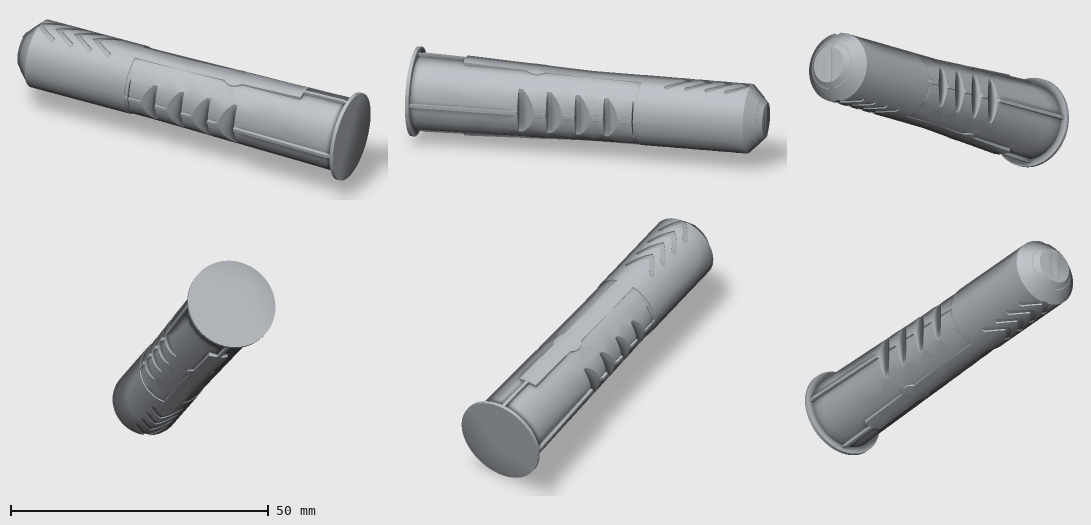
import cadquery as cq

length = 70.0
collar_radius = 17.5 / 2
collar_thickness = 0.7
collar_start = length - collar_thickness

front_radius = 13.6 / 2
nose_radius = 3.5
nose_length = front_radius - nose_radius
lobe_length = 1.1
lobe_radius = nose_radius + lobe_length
lobe_recess = 0.15
nose_rib_width = 1.5

sleeve_start = 24.5
sleeve_start_radius = 6.6
sleeve_end_radius = 7.35

strip_width = 3.8
strip_rise_start = 35.0
strip_end = 59.9
strip_end_radius = 7.85
strip_corner_radius = 0.35
boss_center = 45.5
boss_radius = 2.65

rib_width = 0.6
rib_start_radius = 6.85
rib_peak = 68.1
rib_peak_radius = 8.1
rib_notch = 68.6
rib_notch_radius = 8.0

barb_floor = 5.4
barb_pitch = 5.7
barb_count = 4
first_wall = 25.4
slit_width = 0.3
barb_floor_length = 0.8
barb_ramp_slope = 0.6

chevron_count = 4
chevron_pitch = 4.0
chevron_tip = 2.6
chevron_back = 7.8
chevron_thickness = 1.6
chevron_shoulder = 7.2
chevron_outer_y = 3.3
chevron_inner_y = 2.4
chevron_bow = 0.2
chevron_depth = 0.3
chevron_end_radius = 0.4

reach = 2 * collar_radius


def revolve_profile(points):
    """Revolve an (x, radius) outline about the X axis."""
    return cq.Workplane("XY").polyline(points).close().revolve(360, (0, 0, 0), (1, 0, 0))


def on_both_sides(solid):
    """The solid together with its copy turned half way round the X axis."""
    return solid.union(solid.rotate((0, 0, 0), (1, 0, 0), 180))


def make_body():
    return revolve_profile([
        (0, 0),
        (0, nose_radius),
        (nose_length, front_radius),
        (sleeve_start, front_radius),
        (sleeve_start, sleeve_start_radius),
        (collar_start, sleeve_end_radius),
        (collar_start, collar_radius),
        (length, collar_radius),
        (length, 0),
    ])


def make_nose_recess():
    """Thin skin removed from the nose on both sides of its vertical rib."""
    skin = revolve_profile([
        (0, 0),
        (lobe_recess, 0),
        (lobe_recess, nose_radius),
        (lobe_length, lobe_radius - lobe_recess),
        (lobe_length, lobe_radius + lobe_recess),
        (0, nose_radius + lobe_recess),
    ])
    return skin.cut(cq.Workplane("XY").box(reach, nose_rib_width, reach))


def make_strips():
    """Two opposite strips, each with a round boss, following a shallow cone."""
    strip_length = strip_end - sleeve_start
    outline = (
        cq.Workplane("XY")
        .box(strip_length, strip_width, reach)
        .edges(">X and |Z")
        .fillet(strip_corner_radius)
        .translate((sleeve_start + strip_length / 2, 0, 0))
    )
    boss = cq.Workplane("XY").center(boss_center, 0).circle(boss_radius).extrude(reach / 2, both=True)
    envelope = revolve_profile([
        (sleeve_start, 0),
        (sleeve_start, front_radius),
        (strip_rise_start, front_radius),
        (strip_end, strip_end_radius),
        (strip_end, 0),
    ])
    return envelope.intersect(outline.union(boss))


def rib_radius(x):
    """Radius of the rib crest at x, ahead of its peak."""
    growth = (rib_peak_radius - rib_start_radius) / (rib_peak - sleeve_start)
    return rib_start_radius + growth * (x - sleeve_start)


def make_rib_pair(start):
    """Two opposite ribs on +Y and -Y that run from start to the collar."""
    rib = (
        cq.Workplane("XY")
        .polyline([
            (start, 0),
            (start, rib_radius(start)),
            (rib_peak, rib_peak_radius),
            (rib_notch, rib_notch_radius),
            (collar_start, rib_notch_radius),
            (collar_start, 0),
        ])
        .close()
        .extrude(rib_width / 2, both=True)
    )
    return on_both_sides(rib)


def make_barb_cuts():
    """One narrow slit and a row of ramped notches on +Y and -Y."""
    slit = (
        cq.Workplane("XY")
        .box(slit_width, reach, reach, centered=(False, False, True))
        .translate((first_wall - slit_width, barb_floor, 0))
    )
    cuts = slit
    ramp_height = collar_radius - barb_floor
    for index in range(1, barb_count + 1):
        wall = first_wall + index * barb_pitch
        floor_start = wall - barb_floor_length
        notch = (
            cq.Workplane("XY")
            .polyline([
                (wall, barb_floor),
                (floor_start, barb_floor),
                (floor_start - ramp_height / barb_ramp_slope, collar_radius),
                (wall, collar_radius),
            ])
            .close()
            .extrude(reach / 2, both=True)
        )
        cuts = cuts.union(notch)
    return on_both_sides(cuts)


def make_chevron_cuts():
    """Rows of V grooves of constant depth with slightly bowed arms."""
    inner_tip = chevron_tip + chevron_thickness
    arm = (
        cq.Workplane("XY")
        .moveTo(chevron_tip, 0)
        .sagittaArc((chevron_shoulder, chevron_outer_y), chevron_bow)
        .lineTo(chevron_back, chevron_outer_y)
        .lineTo(chevron_back, chevron_inner_y)
        .sagittaArc((inner_tip, 0), -chevron_bow)
        .close()
        .extrude(collar_radius)
        .edges("|Z and >X")
        .fillet(chevron_end_radius)
    )
    chevron = arm.union(arm.mirror("XZ"))
    grooves = cq.Workplane("XY")
    for index in range(chevron_count):
        grooves = grooves.add(chevron.translate((index * chevron_pitch, 0, 0)))
    core = revolve_profile([
        (0, 0),
        (0, nose_radius - chevron_depth),
        (nose_length, front_radius - chevron_depth),
        (sleeve_start, front_radius - chevron_depth),
        (sleeve_start, 0),
    ])
    return on_both_sides(grooves.combine().cut(core))


result = (
    make_body()
    .cut(make_nose_recess())
    .union(make_rib_pair(sleeve_start))
    .cut(make_barb_cuts())
    .union(make_rib_pair(strip_end).rotate((0, 0, 0), (1, 0, 0), 90))
    .union(make_strips())
    .cut(make_chevron_cuts())
)